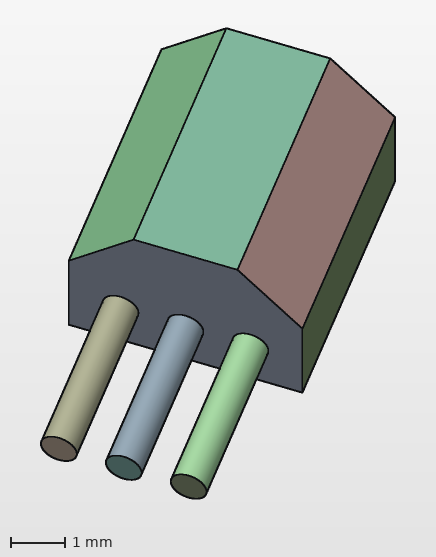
import cadquery as cq

total_length = 8.46
body_length = 5.08
body_width = 4.57
body_height = 3.3
corner_chamfer = 1.27

lead_count = 3
lead_diameter = 0.7
lead_pitch = 1.27
lead_height = 1.015
lead_length = total_length - body_length


def make_body():
    """Block with both long top edges chamfered; its front face lies at Y = 0."""
    block = cq.Workplane("XY").box(
        body_width, body_length, body_height, centered=(True, False, False)
    )
    return block.faces(">Z").edges("|Y").chamfer(corner_chamfer)


def make_leads():
    """Row of leads extending from the front face toward -Y."""
    first_x = -lead_pitch * (lead_count - 1) / 2
    centers = [(first_x + i * lead_pitch, lead_height) for i in range(lead_count)]
    return (
        cq.Workplane("XZ")
        .pushPoints(centers)
        .circle(lead_diameter / 2)
        .extrude(lead_length)
    )


result = make_body().union(make_leads())